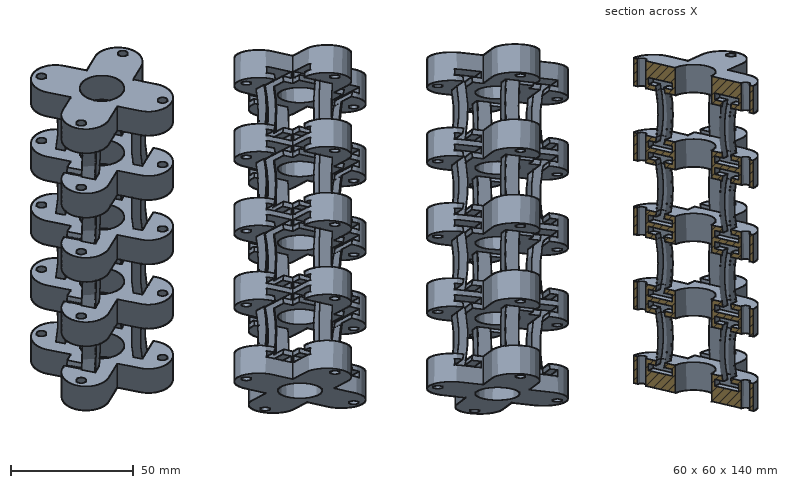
import cadquery as cq

total_height = 140.0
plate_count = 5
plate_thickness = 12.0
plate_pitch = (total_height - plate_thickness) / (plate_count - 1)
gap_height = plate_pitch - plate_thickness
span = 60.0
arm_count = 4
arm_width = 20.0
bore_diameter = 18.0
cord_hole_diameter = 4.0
cord_hole_radius = 26.0

head_width = 11.6
head_height = 2.7
head_radius = 16.7
neck_height = 2.2
strip_half_height = gap_height / 2 + neck_height

spring_width = 6.0
spring_far_side = 3.6
spring_near_side = spring_far_side - spring_width

solid_thickness = 3.9
solid_end_radius = 17.1
solid_bow = 1.3

hollow_thickness = 4.0
hollow_end_radius = 17.0
hollow_bow = 1.5
hollow_wall = 0.5


def plate():
    """One cross-shaped plate with its bore and four cord holes, resting on Z = 0."""
    arm = cq.Workplane("XY").slot2D(span, arm_width).extrude(plate_thickness)
    cross = arm.union(arm.rotate((0, 0, 0), (0, 0, 1), 360 / arm_count))
    bore = cq.Workplane("XY").circle(bore_diameter / 2).extrude(plate_thickness)
    cord_holes = (
        cq.Workplane("XY")
        .polarArray(cord_hole_radius, 0, 360, arm_count)
        .circle(cord_hole_diameter / 2)
        .extrude(plate_thickness)
    )
    return cross.cut(bore).cut(cord_holes)


def bowed_strip(end_radius, bow, thickness, x_start, x_end):
    """Strip on the +Y arm, centred on Z = 0, bowed towards the axis, from x_start to x_end."""
    outer = end_radius + thickness / 2
    inner = end_radius - thickness / 2
    return (
        cq.Workplane("YZ", origin=(x_start, 0, 0))
        .moveTo(outer, -strip_half_height)
        .threePointArc((outer - bow, 0), (outer, strip_half_height))
        .lineTo(inner, strip_half_height)
        .threePointArc((inner - bow, 0), (inner, -strip_half_height))
        .close()
        .extrude(x_end - x_start)
    )


def slot(end_radius, bow, thickness, x_end):
    """Bowed slot on the +Y arm from its -X side to x_end, with a T head in the plate at each end."""
    x_start = -arm_width / 2
    cutter = bowed_strip(end_radius, bow, thickness, x_start, x_end)
    head = cq.Workplane("XY").box(x_end - x_start, head_width, head_height)
    for side in (-1, 1):
        head_z = side * (strip_half_height + head_height / 2)
        cutter = cutter.union(head.translate(((x_start + x_end) / 2, head_radius, head_z)))
    return cutter


def hollow_spring():
    """Outer body of a spring on the +Y arm, filling the gap only; its slot hollows it out."""
    outer_thickness = hollow_thickness + 2 * hollow_wall
    body = bowed_strip(hollow_end_radius, hollow_bow, outer_thickness, spring_near_side, spring_far_side)
    gap = cq.Workplane("XY").box(span, span, gap_height)
    return body.intersect(gap)


def on_x_arm(body):
    """Turn a body from the +Y arm to the +X arm; its -X side then faces +Y."""
    return body.rotate((0, 0, 0), (0, 0, 1), -90)


result = plate()
for level in range(1, plate_count):
    result = result.union(plate().translate((0, 0, level * plate_pitch)))

x_spring = on_x_arm(
    bowed_strip(solid_end_radius, solid_bow, solid_thickness, spring_near_side, spring_far_side)
)
x_slot = on_x_arm(slot(solid_end_radius, solid_bow, solid_thickness, spring_near_side))
y_spring = hollow_spring()
y_slot = slot(hollow_end_radius, hollow_bow, hollow_thickness, spring_far_side - hollow_wall)

arm_pairs = [(x_spring, x_slot, "YZ"), (y_spring, y_slot, "XZ")]
for level in range(plate_count - 1):
    gap_center = (0, 0, plate_thickness + gap_height / 2 + level * plate_pitch)
    for spring, arm_slot, mirror_plane in arm_pairs:
        lifted_spring = spring.translate(gap_center)
        lifted_slot = arm_slot.translate(gap_center)
        result = result.union(lifted_spring).union(lifted_spring.mirror(mirror_plane))
        result = result.cut(lifted_slot).cut(lifted_slot.mirror(mirror_plane))